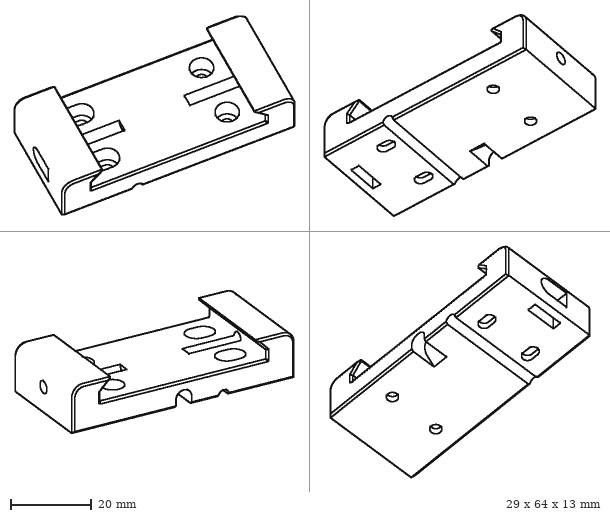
import cadquery as cq

length = 64.0
width = 29.0
height = 13.0
bevel = 0.6
bevel_angle = 45

floor_z = 7.0
bed_half_length = 23.95
lip_half_gap = 20.9
lip_edge_height = 0.45
shoulder_radius = 3.2
corner_radius = 0.4

screw_diameter = 3.0
head_diameter = 6.0
head_seat_z = 2.0
screw_x = 7.5
screw_y = 16.45
slot_travel = 2.0

bore_diameter = 3.3
bore_inner_y = 8.95

recess_height = 5.45
recess_reach = 6.0
recess_depth = 4.75

drop_slot_length = 2.5

channel_diameter = 3.0
channel_axis_z = 0.2
channel_y = -11.5

notch_width = 4.5
notch_top_depth = 3.2


def make_body():
    """Hooked profile along X with rounded bed corners, bevelled around both ends."""
    half_length = length / 2
    lip_under_z = height - lip_edge_height
    wall_top_z = lip_under_z - (bed_half_length - lip_half_gap)
    shoulder_z = height - shoulder_radius
    shoulder_y = half_length - shoulder_radius
    profile = (
        cq.Workplane("YZ")
        .moveTo(-half_length, 0)
        .lineTo(half_length, 0)
        .lineTo(half_length, shoulder_z)
        .radiusArc((shoulder_y, height), -shoulder_radius)
        .lineTo(lip_half_gap, height)
        .lineTo(lip_half_gap, lip_under_z)
        .lineTo(bed_half_length, wall_top_z)
        .lineTo(bed_half_length, floor_z)
        .lineTo(-bed_half_length, floor_z)
        .lineTo(-bed_half_length, wall_top_z)
        .lineTo(-lip_half_gap, lip_under_z)
        .lineTo(-lip_half_gap, height)
        .lineTo(-shoulder_y, height)
        .radiusArc((-half_length, shoulder_z), -shoulder_radius)
        .close()
    )
    straight_half = width / 2 - bevel
    core = profile.extrude(straight_half)
    cap = core.faces(">X").wires().toPending().workplane().extrude(bevel, taper=bevel_angle, combine=False)
    for side in (-1, 1):
        corner = cq.NearestToPointSelector((straight_half / 2, side * bed_half_length, floor_z))
        core = core.edges(corner).fillet(corner_radius)
    half = core.union(cap)
    return half.union(half.mirror("YZ"))


def bed_cut(x, y, diameter, travel, bottom_z):
    """Round or Y-slotted cutter from bottom_z up to the bed, centred on (x, y)."""
    plane = cq.Workplane("XY", origin=(x, y, bottom_z))
    if travel:
        outline = plane.slot2D(diameter + travel, diameter, angle=90)
    else:
        outline = plane.circle(diameter / 2)
    return outline.extrude(floor_z - bottom_z)


def mounting_holes():
    """Two round counterbored holes at +Y and two slotted ones at -Y."""
    cutter = cq.Workplane("XY")
    slot_y = -screw_y - slot_travel / 2
    for x in (-screw_x, screw_x):
        for y, travel in ((screw_y, 0), (slot_y, slot_travel)):
            cutter = cutter.union(bed_cut(x, y, screw_diameter, travel, 0))
            cutter = cutter.union(bed_cut(x, y, head_diameter, travel, head_seat_z))
    return cutter


def end_bores():
    """Bore through both hooks, each ending as a groove in the bed."""
    bore = (
        cq.Workplane("XZ", origin=(0, -bore_inner_y, floor_z))
        .circle(bore_diameter / 2)
        .extrude(length / 2 - bore_inner_y)
    )
    return bore.union(bore.mirror("XZ"))


def end_recess():
    """D-shaped recess, square on the +X side, with a drop slot through the underside."""
    plane = cq.Workplane("XZ", origin=(0, recess_depth - length / 2, floor_z))
    round_side = plane.circle(recess_height / 2).extrude(recess_depth)
    square_side = plane.rect(recess_reach, recess_height).extrude(recess_depth)
    recess = round_side.union(square_side.translate((recess_reach / 2, 0, 0)))
    drop_slot = cq.Workplane("XY").box(
        recess_height / 2 + recess_reach, drop_slot_length, floor_z, centered=False
    )
    back_y = recess_depth - length / 2
    return recess.union(drop_slot.translate((-recess_height / 2, back_y - drop_slot_length, 0)))


def arch_cut(y, axis_z, diameter, start_x, run):
    """Round-topped channel along X, open at the bottom."""
    radius = diameter / 2
    return (
        cq.Workplane("YZ", origin=(start_x, y, 0))
        .moveTo(-radius, 0)
        .lineTo(-radius, axis_z)
        .threePointArc((0, axis_z + radius), (radius, axis_z))
        .lineTo(radius, 0)
        .close()
        .extrude(run)
    )


def side_notch():
    """Arched notch in the -X side whose end wall slopes inwards towards the underside."""
    radius = notch_width / 2
    side_x = -width / 2
    top_x = side_x + notch_top_depth
    arch = arch_cut(0, radius, notch_width, side_x, notch_top_depth + notch_width)
    envelope = (
        cq.Workplane("XZ", origin=(0, radius, 0))
        .polyline([(side_x, 0), (side_x, notch_width), (top_x, notch_width), (top_x + notch_width, 0)])
        .close()
        .extrude(notch_width)
    )
    return arch.intersect(envelope)


underside_channel = arch_cut(channel_y, channel_axis_z, channel_diameter, -width / 2, width)

result = (
    make_body()
    .cut(mounting_holes())
    .cut(end_bores())
    .cut(end_recess())
    .cut(underside_channel)
    .cut(side_notch())
)